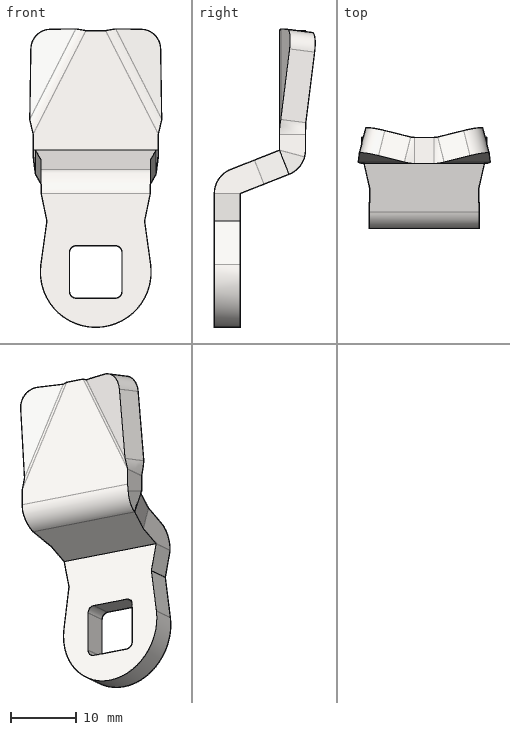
import cadquery as cq
import math

thickness = 4.0
plate_offset = 10.0
lower_bend_z = 12.0
step_angle = 21.5

eye_radius = 8.5
square_hole = 8.0
hole_corner_radius = 1.0
waist_half_width = 7.5
waist_z = 7.8

arm_half_width = 8.37
taper_length = 4.12
taper_slope = 0.212
bend_plain_angle = 15.0

upper_half_width = 9.6
top_z = 36.98
fold_top_half_width = 1.5
fold_line_angle = 27.0
fold_angle = 15.8
fold_inner_radius = 1.5
neutral_factor = 0.45
wing_corner_radius = 3.0

step_sin = math.sin(math.radians(step_angle))
step_cos = math.cos(math.radians(step_angle))
upper_bend_z = lower_bend_z + (thickness + plate_offset * step_sin - thickness * step_sin) / step_cos
arm_top_half_width = arm_half_width + taper_slope * taper_length

line_sin = math.sin(math.radians(fold_line_angle))
line_cos = math.cos(math.radians(fold_line_angle))
fold_line_length = (upper_half_width - fold_top_half_width) / line_sin
fold_bottom_z = top_z - fold_line_length * line_cos
fold_allowance = math.radians(fold_angle) * (fold_inner_radius + neutral_factor * thickness)
fold_axis_y = plate_offset + thickness + fold_inner_radius
fold_along = cq.Vector(line_sin, 0, -line_cos)
fold_outward = cq.Vector(line_cos, 0, line_sin)


def side_plane(half_width):
    """Plane at X = -half_width, with local axes along Y and Z."""
    return cq.Workplane("YZ", origin=(-half_width, 0, 0))


def front_plane(front_y):
    """Plane at Y = front_y with local axes X and Z; a negative extrusion runs toward +Y."""
    return cq.Workplane("XZ", origin=(0, front_y, 0))


def mirrored_outline(right_points):
    """Closed point list from the right-hand points and their mirror images."""
    return right_points + [(-x, z) for x, z in reversed(right_points)]


def lower_plate():
    """Round eye, waist and square hole."""
    waist_distance = math.hypot(waist_half_width, waist_z)
    tangent_angle = math.atan2(waist_z, waist_half_width) - math.acos(eye_radius / waist_distance)
    tangent_x = eye_radius * math.cos(tangent_angle)
    tangent_z = eye_radius * math.sin(tangent_angle)
    plate = (
        front_plane(0)
        .moveTo(-arm_half_width, lower_bend_z)
        .lineTo(arm_half_width, lower_bend_z)
        .lineTo(waist_half_width, waist_z)
        .lineTo(tangent_x, tangent_z)
        .threePointArc((0, -eye_radius), (-tangent_x, tangent_z))
        .lineTo(-waist_half_width, waist_z)
        .close()
        .extrude(-thickness)
    )
    hole = (
        front_plane(0)
        .rect(square_hole, square_hole)
        .extrude(-thickness)
        .edges("|Y")
        .fillet(hole_corner_radius)
    )
    return plate.cut(hole)


def lower_bend_and_arm():
    """Lower bend, sharp on the inside, with the constant-width part of the arm."""
    half_turn = math.radians(90 - step_angle) / 2
    arc_mid = (
        thickness * (1 - math.cos(half_turn)),
        lower_bend_z + thickness * math.sin(half_turn),
    )
    arc_end = (thickness * (1 - step_sin), lower_bend_z + thickness * step_cos)
    front_end = (plate_offset - taper_length * step_cos, upper_bend_z - taper_length * step_sin)
    back_end = (front_end[0] + thickness * step_sin, front_end[1] - thickness * step_cos)
    return (
        side_plane(arm_half_width)
        .moveTo(thickness, lower_bend_z)
        .lineTo(0, lower_bend_z)
        .threePointArc(arc_mid, arc_end)
        .lineTo(*front_end)
        .lineTo(*back_end)
        .close()
        .extrude(2 * arm_half_width)
    )


def tapered_arm():
    """Sloping part of the arm that widens toward the upper bend."""
    slope_plane = cq.Plane(
        origin=(0, plate_offset, upper_bend_z),
        xDir=(1, 0, 0),
        normal=(0, -step_sin, step_cos),
    )
    right_points = [(arm_half_width, -taper_length), (arm_top_half_width, 0)]
    return cq.Workplane(slope_plane).polyline(mirrored_outline(right_points)).close().extrude(-thickness)


def bend_sector(start_angle, end_angle):
    """Sector of the upper bend; angles run from +Y down toward -Z."""
    def rim(angle):
        turn = math.radians(angle)
        return (plate_offset + thickness * math.cos(turn), upper_bend_z - thickness * math.sin(turn))

    return (
        side_plane(upper_half_width)
        .moveTo(plate_offset, upper_bend_z)
        .lineTo(*rim(start_angle))
        .threePointArc(rim((start_angle + end_angle) / 2), rim(end_angle))
        .close()
        .extrude(2 * upper_half_width)
    )


def upper_bend():
    """Upper bend: a full-width sector, then a sector narrowing to the arm."""
    end_angle = 90 - step_angle
    plain = bend_sector(0, bend_plain_angle)
    turn = math.radians(bend_plain_angle)
    depth = thickness * math.sin(math.radians(end_angle - bend_plain_angle))
    taper_plane = cq.Plane(
        origin=(0, plate_offset, upper_bend_z),
        xDir=(1, 0, 0),
        normal=(0, math.cos(turn), -math.sin(turn)),
    )
    right_points = [(arm_top_half_width, depth), (upper_half_width, 0)]
    envelope = cq.Workplane(taper_plane).polyline(mirrored_outline(right_points)).close().extrude(thickness)
    return plain.union(bend_sector(bend_plain_angle, end_angle).intersect(envelope))


def upper_plate():
    """Flat middle of the upper plate, between the two fold lines."""
    right_points = [
        (upper_half_width, upper_bend_z),
        (upper_half_width, fold_bottom_z),
        (fold_top_half_width, top_z),
    ]
    return front_plane(plate_offset).polyline(mirrored_outline(right_points)).close().extrude(-thickness)


def fold_point(share, along, radius):
    """Point in the right-hand fold after the given share of the fold angle."""
    turn = math.radians(fold_angle * share)
    start = cq.Vector(fold_top_half_width, fold_axis_y - radius * math.cos(turn), top_z)
    return start + fold_along * along + fold_outward * (radius * math.sin(turn))


def fold_span(share):
    """Top and bottom ends of the sheet along the fold line at a share of the fold.

    The unfolded sheet has a level top and upright sides, so the ends shift evenly through the fold.
    """
    spread = fold_allowance * share
    return spread * line_sin / line_cos, fold_line_length - spread * line_cos / line_sin


def fold():
    """Curved strip joining the flat middle to the right-hand wing."""
    inner = fold_inner_radius
    outer = fold_inner_radius + thickness
    sections = []
    for share in (0, 0.5, 1):
        top, bottom = fold_span(share)
        corners = [
            fold_point(share, top, outer),
            fold_point(share, bottom, outer),
            fold_point(share, bottom, inner),
            fold_point(share, top, inner),
        ]
        sections.append(cq.Wire.makePolygon(corners, close=True))
    return cq.Workplane(cq.Solid.makeLoft(sections))


def wing():
    """Right-hand folded corner: a right triangle with its square corner rounded."""
    top, bottom = fold_span(1)
    width = (bottom - top) * line_sin
    height = (bottom - top) * line_cos
    turn = math.radians(fold_angle)
    outward = fold_outward * math.cos(turn) + cq.Vector(0, math.sin(turn), 0)
    wing_plane = cq.Plane(
        origin=fold_point(1, top, fold_inner_radius + thickness),
        xDir=outward * line_cos + fold_along * line_sin,
        normal=fold_outward * math.sin(turn) - cq.Vector(0, math.cos(turn), 0),
    )
    return (
        cq.Workplane(wing_plane)
        .lineTo(width - wing_corner_radius, 0)
        .radiusArc((width, -wing_corner_radius), wing_corner_radius)
        .lineTo(width, -height)
        .close()
        .extrude(-thickness)
    )


result = lower_plate()
for section in (lower_bend_and_arm(), tapered_arm(), upper_bend(), upper_plate()):
    result = result.union(section)
for section in (fold(), wing()):
    result = result.union(section).union(section.mirror("YZ"))
result = result.clean()